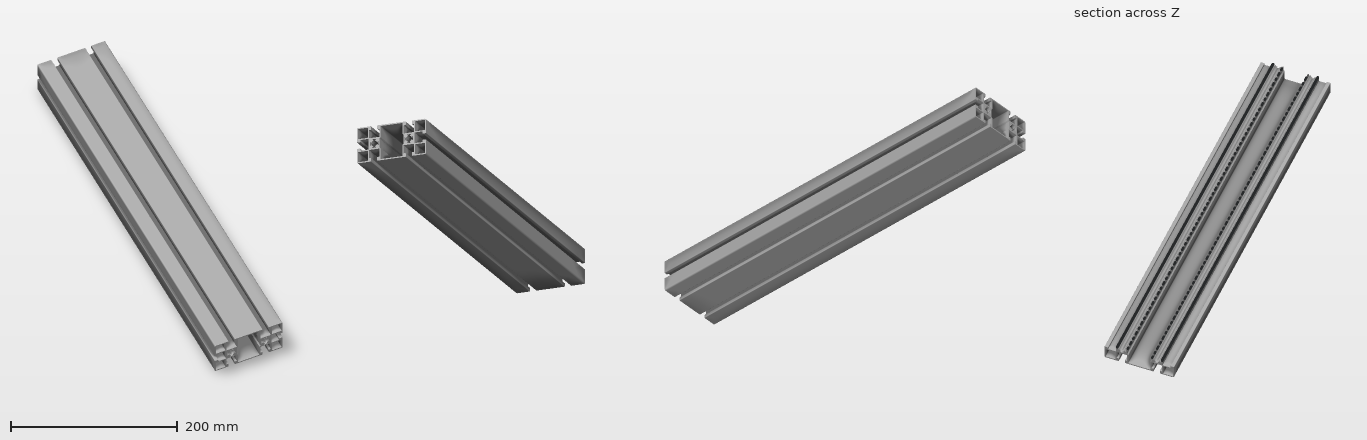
import cadquery as cq
import math

length = 500.0
width = 90.0
height = 45.0
outer_radius = 2.0

slot_offset = width / 4
slot_opening = 8.0
slot_inner_width = 13.5
slot_depth = 15.0
lip_depth = 4.75
lip_radius = 0.55

wall = 1.5
corner_outer_wall = 1.4
inner_radius = 0.75
recess_height = 14.0
recess_depth = 1.5

core_wall = 2.0
web_thickness = 3.75
bore_radius = 3.75


def bar(y_size, z_size, y=0.0, z=0.0):
    """Full-length rectangular bar centred at (y, z)."""
    return cq.Workplane("YZ").center(y, z).rect(y_size, z_size).extrude(length)


def t_slot():
    """T-slot space with its mouth at Z = 0, its floor below and rounded lip edges."""
    mouth = slot_opening / 2
    inner = slot_inner_width / 2
    return (
        cq.Workplane("YZ")
        .moveTo(-mouth - lip_radius, 0)
        .radiusArc((-mouth, -lip_radius), lip_radius)
        .lineTo(-mouth, lip_radius - lip_depth)
        .radiusArc((-mouth - lip_radius, -lip_depth), lip_radius)
        .lineTo(-inner, -lip_depth)
        .lineTo(-inner, -slot_depth)
        .lineTo(inner, -slot_depth)
        .lineTo(inner, -lip_depth)
        .lineTo(mouth + lip_radius, -lip_depth)
        .radiusArc((mouth, lip_radius - lip_depth), lip_radius)
        .lineTo(mouth, -lip_radius)
        .radiusArc((mouth + lip_radius, 0), lip_radius)
        .close()
        .extrude(length)
    )


def core_space():
    """Bore and the four wedge spaces between the diagonal webs, centred on the X axis."""
    reach = height / 2 - slot_depth - core_wall
    tip = web_thickness / math.sqrt(2)
    wedge = (
        cq.Workplane("YZ")
        .polyline([(0, tip), (reach - tip, reach), (tip - reach, reach)])
        .close()
        .extrude(length)
    )
    space = cq.Workplane("YZ").circle(bore_radius).extrude(length)
    for quarter in range(4):
        space = space.union(wedge.rotate((0, 0, 0), (1, 0, 0), 90 * quarter))
    return space


def corner_chamber():
    """Chamber of the +Y, +Z corner."""
    near = slot_inner_width / 2 + wall
    size = height / 2 - corner_outer_wall - near
    chamber = bar(size, size, slot_offset + near + size / 2, near + size / 2)
    return chamber.edges("|X").fillet(inner_radius)


def middle_chamber():
    """Large middle chamber with sloped-edge recesses beside the two cores."""
    chamber_width = 2 * (slot_offset - slot_inner_width / 2 - wall)
    chamber = bar(chamber_width, height - 2 * wall).edges("|X").fillet(inner_radius)
    recess = bar(chamber_width + 2 * recess_depth, recess_height).edges("|X").chamfer(recess_depth)
    return chamber.union(recess)


side_slot = t_slot().rotate((0, 0, 0), (1, 0, 0), -90).translate((0, width / 2, 0))
core = core_space().translate((0, slot_offset, 0))
upper_space = t_slot().translate((0, slot_offset, height / 2)).union(corner_chamber())
half_space = side_slot.union(core).union(upper_space).union(upper_space.mirror("XY"))

result = bar(width, height).edges("|X").fillet(outer_radius)
result = result.cut(half_space).cut(half_space.mirror("XZ")).cut(middle_chamber())